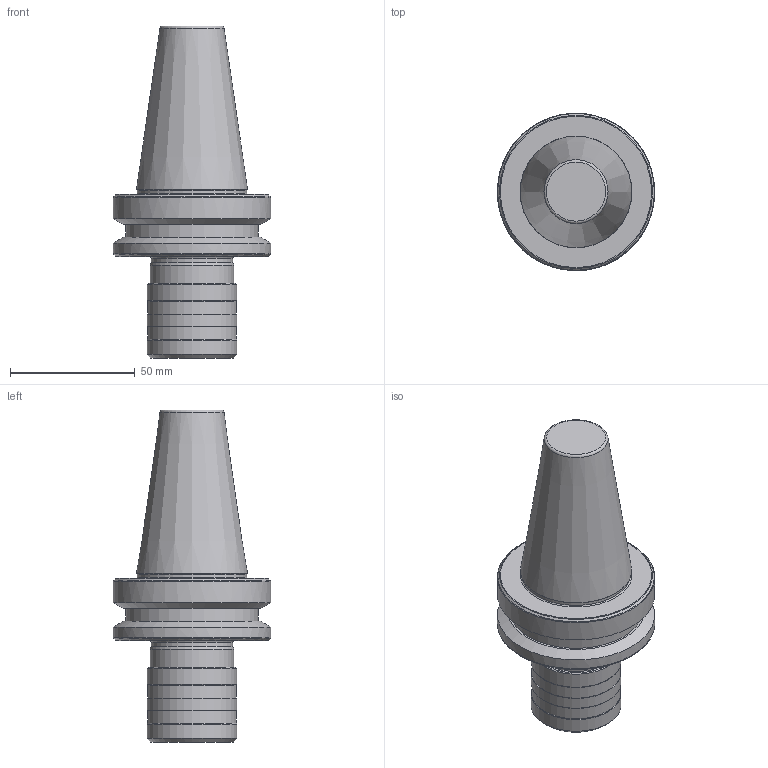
import cadquery as cq
import math


GAUGE_DIAMETER = 44.45
TAPER_RATE = 7 / 24
TAPER_LENGTH = 65.4
TIP_FILLET = 1.0

RELIEF_DEPTH = 0.35
RELIEF_CHAMFER = 0.3
RELIEF_FILLET = 0.5

FLANGE_DIAMETER = 63.0
FLANGE_TOP_Z = -2.0
FLANGE_BOTTOM_Z = -27.0
FLANGE_CHAMFER = 1.0
FLANGE_CORNER_FILLET = 0.5
GROOVE_CENTRE_Z = -16.6
GROOVE_MOUTH_WIDTH = 9.8
GROOVE_FLANK_ANGLE = 30.0
GROOVE_FLOOR_DIAMETER = 53.2
GROOVE_FLOOR_WIDTH = 5.2

NECK_DIAMETER = 32.7
NECK_BOTTOM_Z = -29.1
NECK_FILLET = 0.5
COLLAR_DIAMETER = 33.5
COLLAR_TOP_Z = -30.3

BODY_DIAMETER = 36.0
BODY_TOP_Z = -37.6
BODY_BOTTOM_Z = -67.5
BODY_TOP_CHAMFER = 0.4
BODY_BOTTOM_CHAMFER = 1.5
BAND_DEPTH = 0.2
BAND_END_TAPER = 0.3
UPPER_BAND_TOP_Z = -44.4
UPPER_BAND_BOTTOM_Z = -49.9
LOWER_BAND_TOP_Z = -54.8
LOWER_BAND_BOTTOM_Z = -60.3


def revolve_profile(points):
    """Revolve a closed (radius, height) outline about the Z axis."""
    return cq.Workplane("XZ").polyline(points).close().revolve(360, (0, 0, 0), (0, 1, 0))


def cylinder(radius, bottom_z, top_z):
    return cq.Workplane("XY").workplane(offset=bottom_z).circle(radius).extrude(top_z - bottom_z)


def root_fillet(shaft_radius, face_z, side, radius):
    """Concave fillet where a shaft meets a flat face; side is the Z direction away from it."""
    middle = radius * (1 - math.sqrt(0.5))
    return (
        cq.Workplane("XZ")
        .moveTo(0, face_z)
        .lineTo(shaft_radius + radius, face_z)
        .threePointArc(
            (shaft_radius + middle, face_z + side * middle),
            (shaft_radius, face_z + side * radius),
        )
        .lineTo(0, face_z + side * radius)
        .close()
        .revolve(360, (0, 0, 0), (0, 1, 0))
    )


def make_shank():
    gauge_radius = GAUGE_DIAMETER / 2
    relief_radius = gauge_radius - RELIEF_DEPTH
    tip_radius = gauge_radius - TAPER_LENGTH * TAPER_RATE / 2
    shank = revolve_profile([
        (0, FLANGE_TOP_Z),
        (relief_radius, FLANGE_TOP_Z),
        (relief_radius, -RELIEF_CHAMFER),
        (gauge_radius, 0),
        (tip_radius, TAPER_LENGTH),
        (0, TAPER_LENGTH),
    ])
    shank = shank.faces(">Z").edges().fillet(TIP_FILLET)
    return shank.union(root_fillet(relief_radius, FLANGE_TOP_Z, 1, RELIEF_FILLET))


def make_gripper_groove():
    """Ring to cut away: sloped flanks, then a straight-sided floor channel."""
    outer_radius = FLANGE_DIAMETER / 2
    floor_radius = GROOVE_FLOOR_DIAMETER / 2
    half_mouth = GROOVE_MOUTH_WIDTH / 2
    half_floor = GROOVE_FLOOR_WIDTH / 2
    flank_depth = (half_mouth - half_floor) / math.tan(math.radians(GROOVE_FLANK_ANGLE))
    channel_radius = outer_radius - flank_depth
    return revolve_profile([
        (floor_radius, GROOVE_CENTRE_Z - half_floor),
        (channel_radius, GROOVE_CENTRE_Z - half_floor),
        (outer_radius, GROOVE_CENTRE_Z - half_mouth),
        (outer_radius, GROOVE_CENTRE_Z + half_mouth),
        (channel_radius, GROOVE_CENTRE_Z + half_floor),
        (floor_radius, GROOVE_CENTRE_Z + half_floor),
    ])


def make_flange():
    disc = cylinder(FLANGE_DIAMETER / 2, FLANGE_BOTTOM_Z, FLANGE_TOP_Z)
    disc = disc.faces("|Z").edges().chamfer(FLANGE_CHAMFER)
    disc = disc.edges("%CIRCLE").fillet(FLANGE_CORNER_FILLET)
    return disc.cut(make_gripper_groove())


def make_neck():
    neck_radius = NECK_DIAMETER / 2
    collar_radius = COLLAR_DIAMETER / 2
    neck = revolve_profile([
        (0, FLANGE_BOTTOM_Z),
        (neck_radius, FLANGE_BOTTOM_Z),
        (neck_radius, NECK_BOTTOM_Z),
        (collar_radius, COLLAR_TOP_Z),
        (collar_radius, BODY_TOP_Z),
        (0, BODY_TOP_Z),
    ])
    return neck.union(root_fillet(neck_radius, FLANGE_BOTTOM_Z, -1, NECK_FILLET))


def make_band_cut(plain_end_z, tapered_end_z):
    """Shallow ring to cut from the body, square at one end and sloped at the other."""
    outer_radius = BODY_DIAMETER / 2
    band_radius = outer_radius - BAND_DEPTH
    end_taper = math.copysign(BAND_END_TAPER, tapered_end_z - plain_end_z)
    return revolve_profile([
        (band_radius, plain_end_z),
        (outer_radius, plain_end_z),
        (outer_radius, tapered_end_z),
        (band_radius, tapered_end_z - end_taper),
    ])


def make_body():
    body = cylinder(BODY_DIAMETER / 2, BODY_BOTTOM_Z, BODY_TOP_Z)
    body = body.faces(">Z").edges().chamfer(BODY_TOP_CHAMFER)
    body = body.faces("<Z").edges().chamfer(BODY_BOTTOM_CHAMFER)
    upper_band = make_band_cut(UPPER_BAND_BOTTOM_Z, UPPER_BAND_TOP_Z)
    lower_band = make_band_cut(LOWER_BAND_TOP_Z, LOWER_BAND_BOTTOM_Z)
    return body.cut(upper_band).cut(lower_band)


result = make_shank().union(make_flange()).union(make_neck()).union(make_body())